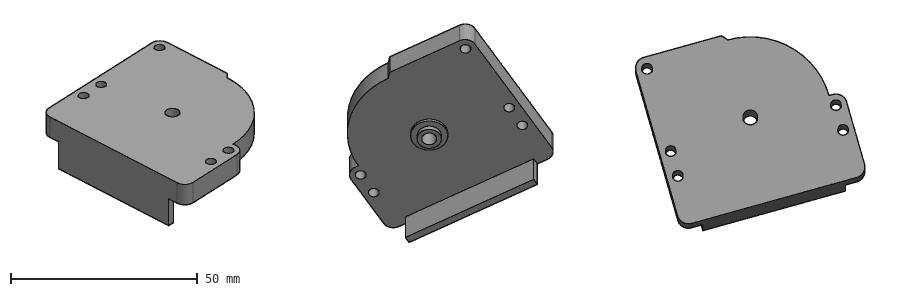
import cadquery as cq

length = 52.0
width = 47.0
plate_thickness = 6.7
corner_radius = 3.0
half_length = length / 2
half_width = width / 2

arc_radius = 21.95
slope_run = 1.4

total_height = 15.5
skirt_length = 39.75
skirt_thickness = 2.05
skirt_depth = total_height - plate_thickness

flange_diameter = 10.0
flange_height = 0.85
hub_diameter = 6.5
hub_depth = 2.25

pivot_diameter = 4.0
screw_diameter = 2.85
screw_x = half_length - corner_radius
back_screw_y = 20.3
middle_screw_y = -corner_radius
front_screw_y = -10.05


def make_plate():
    """Rounded plate whose back right corner is cut to a quarter circle."""
    arc_middle = arc_radius / 2**0.5
    outline = (
        cq.Workplane("XY")
        .moveTo(-half_length, -half_width)
        .lineTo(half_length, -half_width)
        .lineTo(half_length, 0)
        .lineTo(arc_radius, 0)
        .threePointArc((arc_middle, arc_middle), (0, arc_radius))
        .lineTo(-slope_run, half_width)
        .lineTo(-half_length, half_width)
        .close()
    )
    plate = outline.extrude(plate_thickness)
    plate = plate.edges("|Z and (<X or >X)").fillet(corner_radius)
    return plate


def make_skirt():
    """Thin wall flush with the front edge of the plate."""
    return (
        cq.Workplane("XY")
        .center(0, -half_width + skirt_thickness / 2)
        .rect(skirt_length, skirt_thickness)
        .extrude(-skirt_depth)
    )


def make_boss():
    """Wide flange with a narrower hub below it."""
    flange = cq.Workplane("XY").circle(flange_diameter / 2).extrude(-flange_height)
    hub = cq.Workplane("XY").circle(hub_diameter / 2).extrude(-hub_depth)
    return flange.union(hub)


def drill(body, points, diameter):
    """Cut vertical holes through the whole part."""
    cutters = (
        cq.Workplane("XY")
        .workplane(offset=-skirt_depth)
        .pushPoints(points)
        .circle(diameter / 2)
        .extrude(total_height)
    )
    return body.cut(cutters)


screw_points = [(-screw_x, back_screw_y)]
for screw_y in (middle_screw_y, front_screw_y):
    for side in (-1, 1):
        screw_points.append((side * screw_x, screw_y))

body = make_plate().union(make_skirt()).union(make_boss())
body = drill(body, [(0, 0)], pivot_diameter)
result = drill(body, screw_points, screw_diameter)